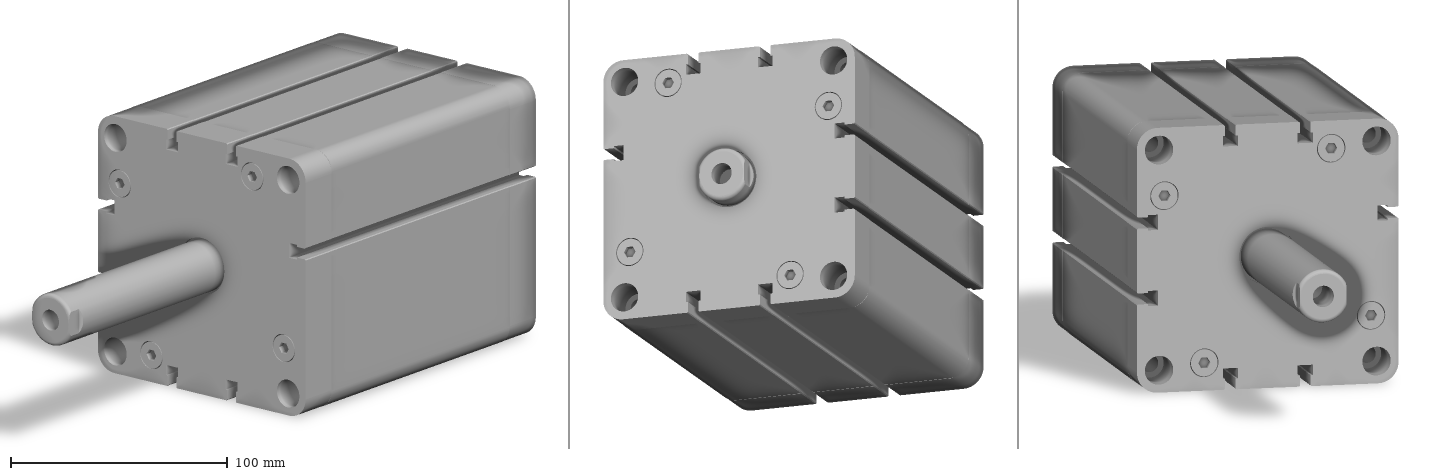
import cadquery as cq
import math

total_length = 286.5
body_side = 124.0
body_length = 167.0
rear_rod_length = 9.7
rear_y = total_length / 2 - rear_rod_length
front_y = rear_y - body_length
middle_y = (front_y + rear_y) / 2

cap_length = 19.0
cap_corner_radius = 9.7
tube_corner_radius = 9.0
tube_recess = 0.15
tube_side = body_side - 2 * tube_recess

slot_offset = 17.8
slot_neck_width = 5.2
slot_neck_depth = 5.2
slot_foot_width = 7.2
slot_depth = 10.0
slot_mouth_chamfer = 0.43

mount_offset = 51.5
mount_diameter = 8.3
mount_counterbore_diameter = 13.5
mount_counterbore_depth = cap_length

screw_long_offset = 49.0
screw_short_offset = 30.0
screw_head_diameter = 12.5
screw_recess_diameter = 13.5
screw_recess_depth = 3.0
screw_socket_corners = 5.7
screw_socket_depth = 3.0

rod_diameter = 25.0
rod_clearance_diameter = 27.0
rod_clearance_depth = 1.5
rod_flat_depth = 1.5
rod_end_radius = 1.85
rod_flat_width = rod_diameter - 2 * rod_flat_depth
rod_flat_length = 7.2
rod_bore_diameter = 10.0
rod_bore_depth = 23.0
drill_tip_angle = 118.0


def section_at(y):
    """Workplane facing -Y at the given Y: local x is X, local y is Z."""
    return cq.Workplane("XZ", origin=(0, y, 0))


def rounded_block(y_start, length, side, corner_radius):
    """Square block with rounded long edges, running from y_start towards +Y."""
    return (
        section_at(y_start)
        .rect(side, side)
        .extrude(-length)
        .edges("|Y")
        .fillet(corner_radius)
    )


def both_ends(front_cut):
    """A cut on the front cap together with its mirror image on the rear cap."""
    return front_cut.union(front_cut.mirror("XZ", (0, middle_y, 0)))


def sensor_slot(y_start, length, side, offset, turn):
    """T-slot cutter on the +Z side at X = offset, then turned about the Y axis."""
    face_z = side / 2
    mouth = slot_neck_width / 2 + slot_mouth_chamfer
    neck = slot_neck_width / 2
    foot = slot_foot_width / 2
    right_half = [
        (mouth, face_z),
        (neck, face_z - slot_mouth_chamfer),
        (neck, face_z - slot_neck_depth),
        (foot, face_z - slot_neck_depth),
        (foot, face_z - slot_depth),
    ]
    left_half = [(-x, z) for x, z in reversed(right_half)]
    outline = section_at(y_start).center(offset, 0).polyline(right_half + left_half).close()
    return outline.extrude(-length).rotate((0, 0, 0), (0, 1, 0), turn)


def body_section(y_start, length, side, corner_radius):
    """Rounded block with two slots on the +Z, -Z and -X sides and only the upper one on +X."""
    section = rounded_block(y_start, length, side, corner_radius)
    for turn in (0, 180, -90):
        for offset in (-slot_offset, slot_offset):
            section = section.cut(sensor_slot(y_start, length, side, offset, turn))
    return section.cut(sensor_slot(y_start, length, side, -slot_offset, 90))


def make_body():
    """Tube between two end caps, set slightly back from the cap sides."""
    tube_length = body_length - 2 * cap_length
    body = body_section(front_y + cap_length, tube_length, tube_side, tube_corner_radius)
    for cap_y in (front_y, rear_y - cap_length):
        body = body.union(body_section(cap_y, cap_length, body_side, cap_corner_radius))
    return body


def cut_mounting_holes(body):
    spacing = 2 * mount_offset
    corners = section_at(front_y).rect(spacing, spacing, forConstruction=True).vertices()
    through = corners.circle(mount_diameter / 2).extrude(-body_length)
    counterbores = corners.circle(mount_counterbore_diameter / 2).extrude(-mount_counterbore_depth)
    return body.cut(through).cut(both_ends(counterbores))


def cut_cap_screws(body):
    """Narrow ring around each flush screw head, and its hexagon socket."""
    centers = [
        (screw_short_offset, screw_long_offset),
        (-screw_long_offset, screw_short_offset),
        (-screw_short_offset, -screw_long_offset),
        (screw_long_offset, -screw_short_offset),
    ]
    seats = section_at(front_y).pushPoints(centers)
    recesses = seats.circle(screw_recess_diameter / 2).extrude(-screw_recess_depth)
    heads = seats.circle(screw_head_diameter / 2).extrude(-screw_recess_depth)
    sockets = seats.polygon(6, screw_socket_corners).extrude(-screw_socket_depth)
    return body.cut(both_ends(recesses.cut(heads))).cut(both_ends(sockets))


def cut_rod_clearance(body):
    clearance = section_at(front_y).circle(rod_clearance_diameter / 2).extrude(-rod_clearance_depth)
    return body.cut(both_ends(clearance))


def rod_flat_cut(side):
    """Wrench flat with a 45 degree run-out at the -Y rod end; side is +1 or -1 along X."""
    flat_x = side * rod_flat_width / 2
    outer_x = side * rod_diameter / 2
    end_y = -total_length / 2
    outline = [
        (flat_x, end_y),
        (flat_x, end_y + rod_flat_length),
        (outer_x, end_y + rod_flat_length + rod_flat_depth),
        (outer_x, end_y),
    ]
    return cq.Workplane("XY").polyline(outline).close().extrude(rod_diameter / 2, both=True)


def rod_bore():
    """Blind drilled hole with a conical bottom at the -Y rod end."""
    radius = rod_bore_diameter / 2
    end_y = -total_length / 2
    tip_length = radius / math.tan(math.radians(drill_tip_angle / 2))
    outline = [
        (0, end_y),
        (radius, end_y),
        (radius, end_y + rod_bore_depth),
        (0, end_y + rod_bore_depth + tip_length),
    ]
    return cq.Workplane("XY").polyline(outline).close().revolve(360, (0, 0, 0), (0, 1, 0))


def make_rod():
    """Rod rounded, flattened and bored alike at both ends."""
    rod = section_at(-total_length / 2).circle(rod_diameter / 2).extrude(-total_length)
    rod = rod.faces("<Y or >Y").fillet(rod_end_radius)
    for end_cut in (rod_flat_cut(-1), rod_flat_cut(1), rod_bore()):
        rod = rod.cut(end_cut).cut(end_cut.mirror("XZ"))
    return rod


body = make_body()
body = cut_mounting_holes(body)
body = cut_cap_screws(body)
body = cut_rod_clearance(body)
result = body.union(make_rod())